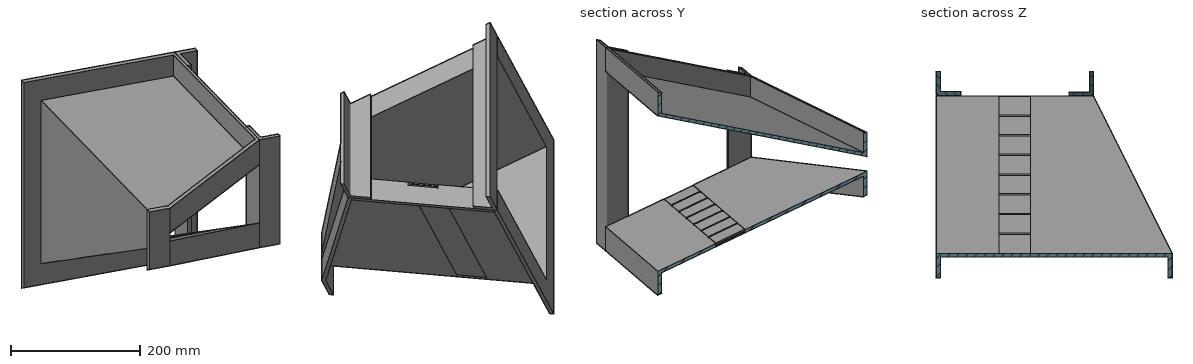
import cadquery as cq
import math

length = 365.8
depth = 320.0
tall_height = 336.5
short_height = 93.3
rise = (tall_height - short_height) / 2 / length
stretch = math.hypot(1, rise)

flange_width = 38.0
end_thickness = 7.0
plate_thickness = 6.0
back_y = depth - flange_width
knee_x = 243.5

sheet_thickness = 6.0
inner_drop = flange_width * stretch
outer_drop = inner_drop - sheet_thickness * stretch

leg = flange_width
wide_angle_thickness = 7.0
narrow_angle_thickness = 6.0
heel_radius = 3.0
root_radius = 2.0

grate_start = 97.3
grate_end = 146.0
slot_count = 8
slot_width = 2.2
slot_depth = 3.0


def edge_z(x, drop=0.0):
    """Height of the tapered upper edge at x, lowered by drop."""
    return tall_height / 2 - rise * x - drop


def taper(drop, y_start, y_end):
    """Symmetric wedge between the upper and lower tapered edges, over a range of Y."""
    outline = [
        (0, -edge_z(0, drop)),
        (length, -edge_z(length, drop)),
        (length, edge_z(length, drop)),
        (0, edge_z(0, drop)),
    ]
    return cq.Workplane("XZ", origin=(0, y_start, 0)).polyline(outline).close().extrude(y_start - y_end)


def upright(points):
    """Full-height prism with the given plan outline."""
    base = cq.Workplane("XY", origin=(0, 0, -tall_height / 2))
    return base.polyline(points).close().extrude(tall_height)


def floor_strip(x_start, x_end, y_start, y_end, thickness):
    """Strip lying flush in the sloping duct floor, thickness measured square to the floor."""
    upper_start = -edge_z(x_start, inner_drop)
    upper_end = -edge_z(x_end, inner_drop)
    fall = thickness * stretch
    outline = [
        (x_start, upper_start),
        (x_end, upper_end),
        (x_end, upper_end - fall),
        (x_start, upper_start - fall),
    ]
    return cq.Workplane("XZ", origin=(0, y_start, 0)).polyline(outline).close().extrude(y_start - y_end)


oblique_run = length - knee_x
oblique_fall = back_y - flange_width
oblique_shift = plate_thickness * math.hypot(oblique_run, oblique_fall) / oblique_fall
run_per_y = oblique_run / oblique_fall
inner_back_y = back_y - plate_thickness
inner_knee_x = knee_x + plate_thickness * run_per_y - oblique_shift
inner_end_x = length - end_thickness
inner_end_y = back_y - (inner_end_x + oblique_shift - knee_x) / run_per_y
front_sheet_y = flange_width - sheet_thickness


def make_hopper():
    """Bent frame plate and sheet duct as one welded body, with the grate opening cut out."""
    frame_plan = [
        (0, 0),
        (0, back_y),
        (knee_x, back_y),
        (length, flange_width),
        (length, 0),
        (inner_end_x, 0),
        (inner_end_x, inner_end_y),
        (inner_knee_x, inner_back_y),
        (end_thickness, inner_back_y),
        (end_thickness, 0),
    ]
    frame = upright(frame_plan).intersect(taper(0, 0, depth))
    duct_plan = [
        (0, front_sheet_y),
        (0, back_y),
        (knee_x, back_y),
        (length, flange_width),
        (length, front_sheet_y),
    ]
    duct = upright(duct_plan).intersect(taper(outer_drop, 0, depth))
    passage = taper(inner_drop, flange_width, back_y)
    grate_opening = floor_strip(grate_start, grate_end, flange_width, back_y, sheet_thickness)
    return frame.union(duct).cut(passage).cut(grate_opening)


def make_angle(heel_x, direction, thickness):
    """L-shaped bar standing on the back plate; direction is the way its foot points in X."""
    plan = [
        (heel_x, back_y),
        (heel_x + direction * leg, back_y),
        (heel_x + direction * leg, back_y + thickness),
        (heel_x + direction * thickness, back_y + thickness),
        (heel_x + direction * thickness, depth),
        (heel_x, depth),
    ]
    return upright(plan)


def make_wide_angle():
    """Angle at the wide end, with a rounded heel."""
    bar = make_angle(0, 1, wide_angle_thickness)
    heel = (0, back_y, 0)
    rounded = bar.edges(cq.selectors.NearestToPointSelector(heel)).fillet(heel_radius)
    return rounded.intersect(taper(0, 0, depth))


def make_narrow_angle():
    """Angle at the knee, with a rounded root."""
    bar = make_angle(knee_x, -1, narrow_angle_thickness)
    root = (knee_x - narrow_angle_thickness, back_y + narrow_angle_thickness, 0)
    rounded = bar.edges(cq.selectors.NearestToPointSelector(root)).fillet(root_radius)
    return rounded.intersect(taper(0, 0, depth))


def make_grate():
    """Plate in the duct floor with evenly spaced grooves; the first groove is open at the back."""
    grate = floor_strip(grate_start, grate_end, flange_width, back_y, sheet_thickness)
    pitch = (back_y - flange_width) / slot_count
    for index in range(slot_count):
        centre_y = back_y - index * pitch
        groove = floor_strip(
            grate_start, grate_end, centre_y - slot_width / 2, centre_y + slot_width / 2, slot_depth
        )
        grate = grate.cut(groove)
    return grate


hopper = make_hopper().solids()
wide_angle = make_wide_angle().solids()
narrow_angle = make_narrow_angle().solids()
grate = make_grate().solids()

result = cq.Compound.makeCompound([hopper.val(), wide_angle.val(), narrow_angle.val(), grate.val()])